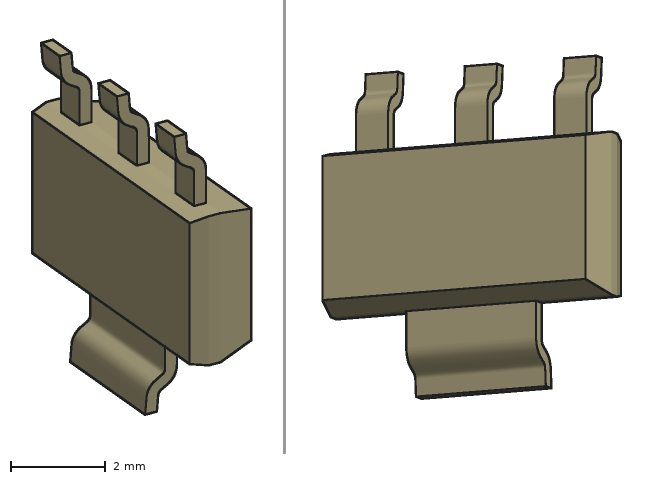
import cadquery as cq
import math

HEIGHT = 7.0
BODY_WIDTH = 6.5
BODY_HEIGHT = 3.5
BACK_DEPTH = 0.89
FRONT_DEPTH = 0.41
TAPER = 13.0
OVERALL_DEPTH = 1.68

THICKNESS = 0.295
LEAD_WIDTH = 0.75
LEAD_PITCH = 2.295
LEAD_COUNT = 3
TAB_WIDTH = 3.01
BEND_RADIUS = 0.295
BEND_ANGLE = 60.0
FOOT_ANGLE = 5.0
BEND_START = 2.535

half_sheet = THICKNESS / 2
tip_z = HEIGHT / 2
foot_tip_y = half_sheet + BACK_DEPTH - OVERALL_DEPTH
slope = math.radians(BEND_ANGLE)
foot_slope = math.radians(FOOT_ANGLE)

first_centre = (-BEND_RADIUS, BEND_START)


def around(centre, radius, angle):
    """Point on a bend: angle 0 is on the +Y side, growing toward +Z."""
    return (centre[0] + radius * math.cos(angle), centre[1] + radius * math.sin(angle))


def second_bend_centre():
    """Centre of the second bend, placed so the foot's front face ends at foot_tip_y."""
    y, z = around(first_centre, 2 * BEND_RADIUS, slope)
    outer = BEND_RADIUS + half_sheet
    foot_y, foot_z = around((y, z), outer, math.pi + foot_slope)
    reached_y = foot_y - (tip_z - foot_z) * math.tan(foot_slope)
    dy, dz = -math.sin(slope), math.cos(slope)
    length = (foot_tip_y - reached_y) / (dy + dz * math.tan(foot_slope))
    return (y + length * dy, z + length * dz)


def bent_strip(width, x):
    """Sheet strip from the body centre up to a forward-bent foot."""
    second_centre = second_bend_centre()
    first_angles = (0, slope / 2, slope)
    second_angles = [math.pi + a for a in (slope, (slope + foot_slope) / 2, foot_slope)]

    def side(offset):
        """Bend points of the sheet face offset toward the back (+) or front (-)."""
        first = [around(first_centre, BEND_RADIUS + offset, a) for a in first_angles]
        second = [around(second_centre, BEND_RADIUS - offset, a) for a in second_angles]
        end_y, end_z = second[-1]
        tip = (end_y - (tip_z - end_z) * math.tan(foot_slope), tip_z)
        return first, second, tip

    back_first, back_second, back_tip = side(half_sheet)
    front_first, front_second, front_tip = side(-half_sheet)
    outline = (
        cq.Workplane("YZ", origin=(x - width / 2, 0, 0))
        .moveTo(half_sheet, 0)
        .lineTo(*back_first[0])
        .threePointArc(back_first[1], back_first[2])
        .lineTo(*back_second[0])
        .threePointArc(back_second[1], back_second[2])
        .lineTo(*back_tip)
        .lineTo(*front_tip)
        .lineTo(*front_second[2])
        .threePointArc(front_second[1], front_second[0])
        .lineTo(*front_first[2])
        .threePointArc(front_first[1], front_first[0])
        .lineTo(-half_sheet, 0)
        .close()
    )
    return outline.extrude(width)


def body_layer(start_y, depth, taper=0):
    """Rectangular body layer grown along Y from start_y; negative depth grows forward."""
    plane = cq.Workplane("XZ", origin=(0, start_y, 0))
    return plane.rect(BODY_WIDTH, BODY_HEIGHT).extrude(-depth, taper=taper)


result = body_layer(-half_sheet, THICKNESS)
result = result.union(body_layer(half_sheet, BACK_DEPTH, TAPER))
result = result.union(body_layer(-half_sheet, -FRONT_DEPTH, TAPER))

for index in range(LEAD_COUNT):
    lead_x = (index - (LEAD_COUNT - 1) / 2) * LEAD_PITCH
    result = result.union(bent_strip(LEAD_WIDTH, lead_x))

result = result.union(bent_strip(TAB_WIDTH, 0).mirror("XY"))